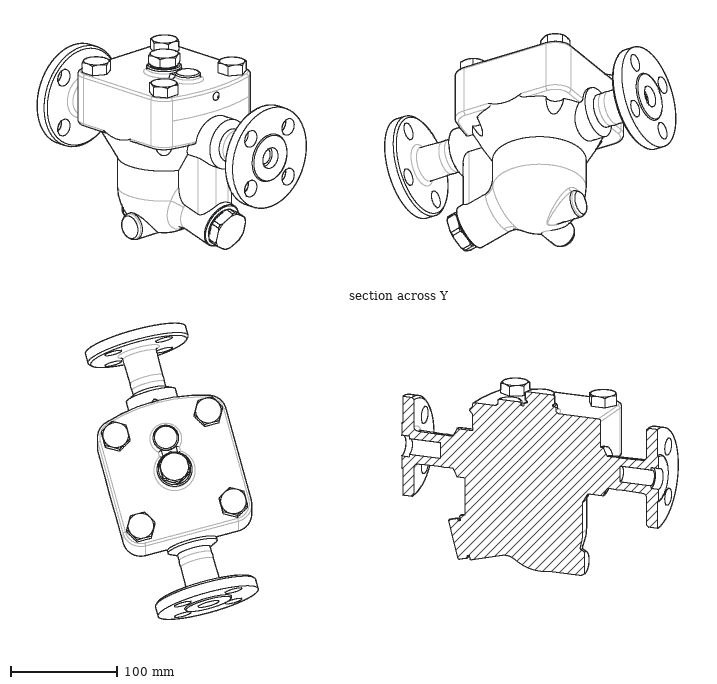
import cadquery as cq
import math


block_width = 125.0
bolt_offset = 45.1
corner_radius = block_width / 2 - bolt_offset
block_top = 51.7
block_bottom = 0.5
joint_height = 29.3
right_bulge = 69.5
right_bulge_bottom = 67.8
top_round = 2.5
bottom_round = 3.2

bowl_radius = 44.0
bowl_lowest = -106.5
dome_center_z = bowl_lowest + bowl_radius
cone_bottom = -32.5
cone_top = 4.0
cone_angle = 30
clearance_radius = 8.7

left_end = -122.0
right_end = left_end + 264
flange_radius = 98.0 / 2
flange_thickness = 11.5
flange_chamfer = 2.0
face_height = 1.3
face_radius = 46.0 / 2
face_top_radius = 44.0 / 2
flange_hole_diameter = 16.0
flange_bolt_circle = 70.0
neck_fillet = 3.7
neck_radius = 33.0 / 2
pipe_radius = 32.0 / 2
weld_offset = 41.0
weld_width = 6.3
weld_crown = 0.4
port_radius = 48.0 / 2
port_chamfer_length = 4.2
left_port_end = -65.0
right_port_end = 85.3
bore_diameter = 20.0
bore_depth = 8.0
inner_bore_diameter = 15.0
inner_bore_depth = 39.5

pad_end = 77.0
pad_half_width = 19.8
pad_round = 12.0

branch_tilt = 15
branch_radius = 44.0 / 2
branch_length = 80.0
branch_fillet = 15.8
branch_edge_chamfer = 0.8
cap_collar_radius = 17.5
cap_collar_height = 1.8
cap_flats = 36.0
cap_diameter = 39.5
cap_height = 10.5
cap_chamfer = 1.0

drain_radius = 26.0 / 2
drain_face_radius = 22.0 / 2
drain_z = -92.5
drain_rim_radius = 24.8 / 2
drain_shoulder = 41.7
drain_rim = 43.3
drain_end = 45.7
drain_fillet = 3.2

bolt_flats = 24.0
bolt_height = 10.3
plug_flats = 26.5
plug_bottom = 59.5
plug_top = 69.5
hex_chamfer_angle = 30
boss_top = 58.3
boss_radius = 33.0 / 2
small_boss_x = 31.5
small_boss_radius = 24.0 / 2
boss_flare = 3.0
boss_chamfer = 1.3
rib_height = 3.2
rib_half_width = 7.0
nub_z = 43.8
nub_radius = 4.0
nub_tip_radius = 0.8
nub_tip_x = 72.3


def block_outline(z, bulge):
    """Rounded square with a bowed right side."""
    edge = bolt_offset + corner_radius
    reach = right_bulge - bolt_offset
    bow_radius = (reach**2 + bolt_offset**2 - corner_radius**2) / (2 * (reach - corner_radius))
    tangent_angle = math.asin(bolt_offset / (bow_radius - corner_radius))
    tangent_x = bolt_offset + corner_radius * math.cos(tangent_angle)
    tangent_y = bolt_offset + corner_radius * math.sin(tangent_angle)
    right_mid = (math.pi / 2 + tangent_angle) / 2
    right_mid_x = bolt_offset + corner_radius * math.cos(right_mid)
    right_mid_y = bolt_offset + corner_radius * math.sin(right_mid)
    left_mid = bolt_offset + corner_radius * math.sqrt(0.5)
    return (
        cq.Workplane("XY", origin=(0, 0, z))
        .moveTo(-bolt_offset, -edge)
        .lineTo(bolt_offset, -edge)
        .threePointArc((right_mid_x, -right_mid_y), (tangent_x, -tangent_y))
        .threePointArc((bulge, 0), (tangent_x, tangent_y))
        .threePointArc((right_mid_x, right_mid_y), (bolt_offset, edge))
        .lineTo(-bolt_offset, edge)
        .threePointArc((-left_mid, left_mid), (-edge, bolt_offset))
        .lineTo(-edge, -bolt_offset)
        .threePointArc((-left_mid, -left_mid), (-bolt_offset, -edge))
        .close()
    )


def make_block():
    """Cover, and the part of the body below the joint whose right side leans inward."""
    cover = block_outline(joint_height, right_bulge).extrude(block_top - joint_height)
    cover = cover.faces(">Z").edges().fillet(top_round)
    top_wire = block_outline(joint_height, right_bulge).wires().val()
    bottom_wire = block_outline(block_bottom, right_bulge_bottom).wires().val()
    body = cq.Workplane(cq.Solid.makeLoft([bottom_wire, top_wire], True))
    body = body.faces("<Z").edges().fillet(bottom_round)
    return cover.union(body)


def make_bowl():
    """Domed cylinder that widens as a cone up to the block."""
    cone_radius = bowl_radius + (cone_top - cone_bottom) * math.tan(math.radians(cone_angle))
    diagonal = bowl_radius * math.sqrt(0.5)
    bowl = (
        cq.Workplane("XZ")
        .moveTo(0, bowl_lowest)
        .threePointArc((diagonal, dome_center_z - diagonal), (bowl_radius, dome_center_z))
        .lineTo(bowl_radius, cone_bottom)
        .lineTo(cone_radius, cone_top)
        .lineTo(0, cone_top)
        .close()
        .revolve(360, (0, 0), (0, 1))
    )
    envelope = block_outline(bowl_lowest, right_bulge_bottom).extrude(cone_top - bowl_lowest)
    clearance = (
        cq.Workplane("XY", origin=(0, 0, cone_bottom))
        .rect(2 * bolt_offset, 2 * bolt_offset, forConstruction=True)
        .vertices()
        .circle(clearance_radius)
        .extrude(block_bottom - cone_bottom)
    )
    return bowl.intersect(envelope).cut(clearance)


def make_pipe(end, port_end):
    """Flange, neck, weld bead and port, from an end face at X = end to the bowl axis."""
    inward = -math.copysign(1, end)
    length = abs(end)
    flange_back = face_height + flange_thickness
    neck_start = flange_back + neck_fillet
    bend = neck_fillet * (1 - math.sqrt(0.5))
    weld_end = weld_offset + weld_width
    port_start = length - abs(port_end)
    profile = (
        cq.Workplane("XY")
        .lineTo(0, face_top_radius)
        .lineTo(face_height, face_radius)
        .lineTo(face_height, flange_radius)
        .lineTo(flange_back - flange_chamfer, flange_radius)
        .lineTo(flange_back, flange_radius - flange_chamfer)
        .lineTo(flange_back, neck_radius + neck_fillet)
        .threePointArc((flange_back + bend, neck_radius + bend), (neck_start, neck_radius))
        .lineTo(weld_offset, pipe_radius)
        .threePointArc((weld_offset + weld_width / 2, pipe_radius + weld_crown), (weld_end, pipe_radius))
        .lineTo(port_start - port_chamfer_length, pipe_radius)
        .lineTo(port_start, port_radius)
        .lineTo(length, port_radius)
        .lineTo(length, 0)
        .close()
    )
    pipe = profile.revolve(360, (0, 0), (1, 0))
    holes = (
        cq.Workplane("YZ")
        .polarArray(flange_bolt_circle / 2, 45, 360, 4)
        .circle(flange_hole_diameter / 2)
        .extrude(flange_back)
    )
    pipe = pipe.cut(holes)
    if inward < 0:
        pipe = pipe.mirror("YZ")
    return pipe.translate((end, 0, 0))


def make_bore(end):
    """Stepped bore entering from an end face."""
    inward = -math.copysign(1, end)
    plane = cq.Workplane("YZ", origin=(end, 0, 0))
    wide = plane.circle(bore_diameter / 2).extrude(inward * bore_depth)
    narrow = plane.circle(inner_bore_diameter / 2).extrude(inward * inner_bore_depth)
    return wide.union(narrow)


def make_pad():
    """Upright pad from the pipe axis down to the strainer branch axis below its middle."""
    pad_bottom = dome_center_z - pad_end / 2 * math.tan(math.radians(branch_tilt))
    return (
        cq.Workplane("XY", origin=(0, 0, pad_bottom))
        .box(pad_end, 2 * pad_half_width, -pad_bottom, centered=(False, True, False))
        .edges("|Z and >X")
        .fillet(pad_round)
    )


def make_hex(flats, height):
    """Hexagon head standing on Z = 0 with two corners on the X axis."""
    return cq.Workplane("XY").polygon(6, flats / math.cos(math.radians(30))).extrude(height)


def make_bolt_head(flats, height, chamfer_both_ends):
    """Hexagon head whose corners are turned down to the width across flats at the end."""
    flat_radius = flats / 2
    corner = flat_radius / math.cos(math.radians(30))
    drop = (corner - flat_radius) * math.tan(math.radians(hex_chamfer_angle))
    outline = cq.Workplane("XZ")
    if chamfer_both_ends:
        outline = outline.lineTo(flat_radius, 0).lineTo(corner, drop)
    else:
        outline = outline.lineTo(corner, 0)
    turned = (
        outline.lineTo(corner, height - drop)
        .lineTo(flat_radius, height)
        .lineTo(0, height)
        .close()
        .revolve(360, (0, 0), (0, 1))
    )
    return make_hex(flats, height).intersect(turned)


def make_branch():
    """Strainer branch with its cap."""
    collar_end = branch_length + cap_collar_height
    branch = (
        cq.Workplane("XZ")
        .lineTo(branch_radius, 0)
        .lineTo(branch_radius, branch_length - branch_edge_chamfer)
        .lineTo(branch_radius - branch_edge_chamfer, branch_length)
        .lineTo(cap_collar_radius, branch_length)
        .lineTo(cap_collar_radius, collar_end)
        .lineTo(0, collar_end)
        .close()
        .revolve(360, (0, 0), (0, 1))
    )
    cap = (
        cq.Workplane("XY")
        .circle(cap_diameter / 2)
        .extrude(cap_height)
        .faces("|Z")
        .edges()
        .chamfer(cap_chamfer)
        .intersect(make_hex(cap_flats, cap_height))
        .translate((0, 0, collar_end))
    )
    return (
        branch.union(cap)
        .rotate((0, 0, 0), (0, 1, 0), 90 + branch_tilt)
        .translate((0, 0, dome_center_z))
    )


def make_drain():
    """Drain plug pointing along -Y."""
    return (
        cq.Workplane("YZ")
        .lineTo(0, drain_radius)
        .lineTo(-drain_shoulder, drain_radius)
        .lineTo(-drain_rim, drain_rim_radius)
        .lineTo(-drain_end, drain_face_radius)
        .lineTo(-drain_end, 0)
        .close()
        .revolve(360, (0, 0), (1, 0))
        .translate((0, 0, drain_z))
    )


def make_boss(x, radius, top_chamfer):
    """Round boss on the cover with a flared foot and a chamfered top."""
    height = boss_top - block_top
    bend = boss_flare * (1 - math.sqrt(0.5))
    return (
        cq.Workplane("XZ")
        .lineTo(radius + boss_flare, 0)
        .threePointArc((radius + bend, bend), (radius, boss_flare))
        .lineTo(radius, height - top_chamfer)
        .lineTo(radius - top_chamfer, height)
        .lineTo(0, height)
        .close()
        .revolve(360, (0, 0), (0, 1))
        .translate((x, 0, block_top))
    )


def make_rib():
    """Low rib with flared sides between the two bosses."""
    bend = rib_height * (1 - math.sqrt(0.5))
    foot = rib_half_width + rib_height
    return (
        cq.Workplane("YZ", origin=(0, 0, block_top))
        .moveTo(-foot, 0)
        .lineTo(foot, 0)
        .threePointArc((rib_half_width + bend, bend), (rib_half_width, rib_height))
        .lineTo(-rib_half_width, rib_height)
        .threePointArc((-rib_half_width - bend, bend), (-foot, 0))
        .close()
        .extrude(small_boss_x)
    )


def make_nub():
    """Small cone on the curved right side of the cover."""
    length = nub_tip_x - bolt_offset
    straight = right_bulge - bolt_offset
    return (
        cq.Workplane("XY")
        .lineTo(0, nub_radius)
        .lineTo(straight, nub_radius)
        .lineTo(length, nub_tip_radius)
        .lineTo(length, 0)
        .close()
        .revolve(360, (0, 0), (1, 0))
        .translate((bolt_offset, 0, nub_z))
    )


bowl = make_bowl().union(make_branch())
tilt = math.radians(branch_tilt)
joint_distance = math.sqrt(bowl_radius**2 - branch_radius**2)
joint_x = joint_distance * math.cos(tilt)
joint_z = dome_center_z - joint_distance * math.sin(tilt)
branch_joint = cq.selectors.BoxSelector(
    (joint_x - branch_fillet / 2, -branch_radius, joint_z - branch_radius),
    (joint_x + branch_fillet / 2, branch_radius, joint_z + branch_radius),
)
bowl = bowl.edges(branch_joint).fillet(branch_fillet)

front_drain = make_drain()
left_drain = front_drain.rotate((0, 0, 0), (0, 0, 1), -90)
drain_joint = cq.selectors.NearestToPointSelector((-drain_shoulder / 2, 0, drain_z))
bowl = bowl.union(left_drain)
bowl = bowl.edges(drain_joint).fillet(drain_fillet)
bowl = bowl.union(front_drain)

result = make_block().union(bowl)
result = result.union(make_pipe(left_end, left_port_end))
result = result.union(make_pipe(right_end, right_port_end))
result = result.union(make_pad())

result = result.union(make_boss(0, boss_radius, boss_chamfer))
result = result.union(make_boss(small_boss_x, small_boss_radius, boss_chamfer))
result = result.union(make_rib())
plug_neck = cq.Workplane("XY", origin=(0, 0, boss_top)).circle(plug_flats / 2).extrude(plug_bottom - boss_top)
plug_head = make_bolt_head(plug_flats, plug_top - plug_bottom, True).translate((0, 0, plug_bottom))
result = result.union(plug_neck).union(plug_head)
result = result.union(make_nub())

bolt_head = make_bolt_head(bolt_flats, bolt_height, False).translate((-bolt_offset, -bolt_offset, block_top))
for quarter in range(4):
    result = result.union(bolt_head.rotate((0, 0, 0), (0, 0, 1), 90 * quarter))

result = result.cut(make_bore(left_end)).cut(make_bore(right_end))